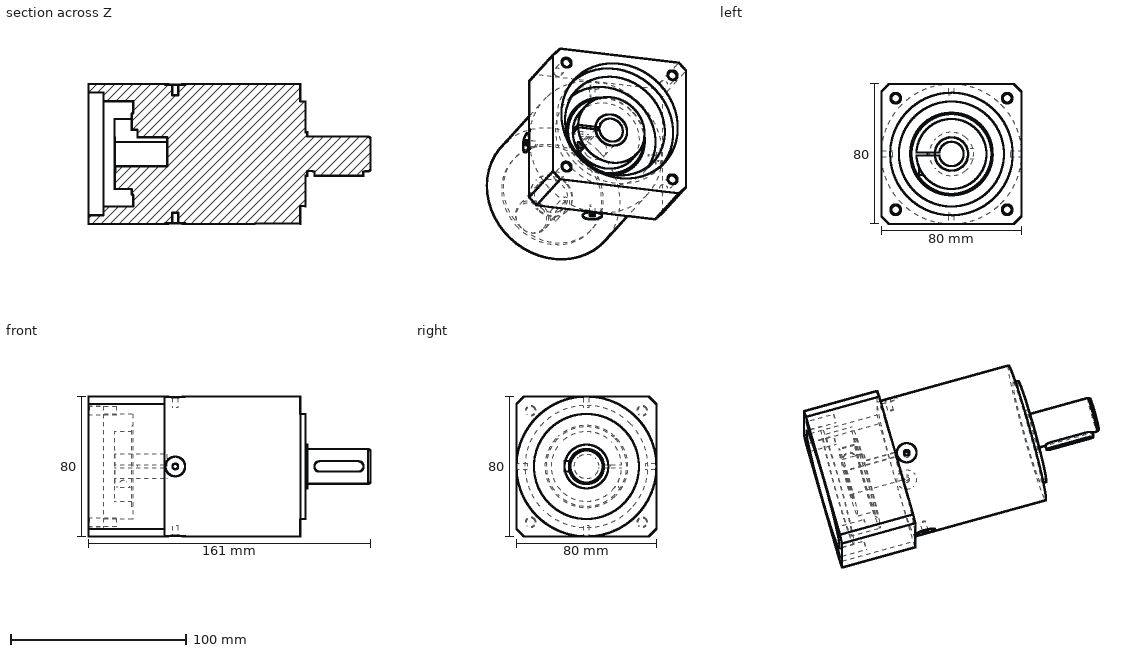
import cadquery as cq
import math


FLANGE_END = 43.4
HOUSING_END = 121.0
PILOT_END = 124.0
SHOULDER_END = 125.0
SHAFT_END = 161.0

FLANGE_SIDE = 80.0
FLANGE_CORNER_CHAMFER = 4.4
BOLT_CIRCLE_DIAMETER = 90.0
BOLT_HOLE_DIAMETER = 5.0
BOLT_HOLE_MOUTH_DIAMETER = 6.0
BOLT_HOLE_DEPTH = 16.0

HOUSING_DIAMETER = FLANGE_SIDE
PILOT_DIAMETER = 60.0
SHOULDER_DIAMETER = 25.0
SHAFT_DIAMETER = 20.0
SHAFT_CHAMFER_LENGTH = 1.3
SHAFT_CHAMFER_HEIGHT = 0.8

KEY_LENGTH = 28.0
KEY_WIDTH = 6.0
KEY_HEIGHT = 6.0
KEY_TOP_RADIUS = 12.5

MOTOR_SPIGOT_DIAMETER = 70.0
MOTOR_SPIGOT_DEPTH = 8.5
CAVITY_DIAMETER = 60.0
CAVITY_DEPTH = 25.5
FLOOR_BOSS_DIAMETER = 47.2
FLOOR_BOSS_HEIGHT = 0.8

HUB_FRONT = 15.0
HUB_DIAMETER = 40.0
HUB_RECESS_DIAMETER = 19.0
HUB_RECESS_DEPTH = 0.3
HUB_BORE_DIAMETER = 14.0
HUB_BORE_END = 45.0
HUB_SLIT_WIDTH = 1.5
HUB_SLIT_MIDDLE_Y = 13.8
HUB_SLIT_MIDDLE_END = 28.0

SCREW_HEAD_DIAMETER = 8.4
SCREW_HEAD_OUTER_Y = 18.4
SCREW_HEAD_BOTTOM_Z = -12.0
SCREW_HEAD_TOP_Z = -5.0
SCREW_AXIS_X = 20.0

SPOT_X = 49.6
SPOT_DIAMETER = 11.2
SPOT_HOLE_DIAMETER = 3.2
SPOT_HOLE_DEPTH = 6.0


def x_cylinder(diameter, start, end):
    """Cylinder on the X axis between two stations."""
    return cq.Workplane("YZ", origin=(start, 0, 0)).circle(diameter / 2).extrude(end - start)


def x_cone(start_diameter, end_diameter, start, end):
    """Truncated cone on the X axis between two stations."""
    cone = cq.Solid.makeCone(
        start_diameter / 2, end_diameter / 2, end - start, cq.Vector(start, 0, 0), cq.Vector(1, 0, 0)
    )
    return cq.Workplane(obj=cone)


def make_flange():
    block = cq.Workplane("YZ").rect(FLANGE_SIDE, FLANGE_SIDE).extrude(FLANGE_END)
    return block.edges("|X").chamfer(FLANGE_CORNER_CHAMFER)


def make_shaft():
    chamfer_start = SHAFT_END - SHAFT_CHAMFER_LENGTH
    tip_diameter = SHAFT_DIAMETER - 2 * SHAFT_CHAMFER_HEIGHT
    shaft = x_cylinder(SHAFT_DIAMETER, HOUSING_END, chamfer_start)
    return shaft.union(x_cone(SHAFT_DIAMETER, tip_diameter, chamfer_start, SHAFT_END))


def make_key():
    key_centre_x = (SHOULDER_END + SHAFT_END) / 2
    outer_face = cq.Workplane("XZ", origin=(key_centre_x, -KEY_TOP_RADIUS, 0))
    return outer_face.slot2D(KEY_LENGTH, KEY_WIDTH).extrude(-KEY_HEIGHT)


def make_cavity():
    """Stepped motor opening, leaving a low bevelled boss on its floor."""
    opening = x_cylinder(MOTOR_SPIGOT_DIAMETER, 0, MOTOR_SPIGOT_DEPTH)
    opening = opening.union(x_cylinder(CAVITY_DIAMETER, 0, CAVITY_DEPTH))
    boss_tip_diameter = FLOOR_BOSS_DIAMETER - 2 * FLOOR_BOSS_HEIGHT
    boss_front = CAVITY_DEPTH - FLOOR_BOSS_HEIGHT
    return opening.cut(x_cone(boss_tip_diameter, FLOOR_BOSS_DIAMETER, boss_front, CAVITY_DEPTH))


def make_screw_head():
    screw_y = SCREW_HEAD_OUTER_Y - SCREW_HEAD_DIAMETER / 2
    base = cq.Workplane("XY", origin=(SCREW_AXIS_X, screw_y, SCREW_HEAD_BOTTOM_Z))
    return base.circle(SCREW_HEAD_DIAMETER / 2).extrude(SCREW_HEAD_TOP_Z - SCREW_HEAD_BOTTOM_Z)


def make_hub():
    """Clamping hub with its screw head and face recess, before boring and slitting."""
    hub = x_cylinder(HUB_DIAMETER, HUB_FRONT, CAVITY_DEPTH).union(make_screw_head())
    return hub.cut(x_cylinder(HUB_RECESS_DIAMETER, HUB_FRONT, HUB_FRONT + HUB_RECESS_DEPTH))


def make_hub_slit():
    """Slit from the bore towards +Y that gets deeper in two steps near the bore."""
    boss_front = CAVITY_DEPTH - FLOOR_BOSS_HEIGHT
    steps = (
        (HUB_DIAMETER / 2, boss_front),
        (HUB_SLIT_MIDDLE_Y, HUB_SLIT_MIDDLE_END),
        (HUB_RECESS_DIAMETER / 2, HUB_BORE_END),
    )
    slit = cq.Workplane("XY")
    for outer_y, end_x in steps:
        start = cq.Workplane("XY", origin=(HUB_FRONT, 0, -HUB_SLIT_WIDTH / 2))
        slit = slit.union(start.rect(end_x - HUB_FRONT, outer_y, centered=False).extrude(HUB_SLIT_WIDTH))
    return slit


def make_bolt_hole():
    """Blind hole from the flange face with a 45 degree chamfered mouth, on the X axis."""
    mouth_depth = (BOLT_HOLE_MOUTH_DIAMETER - BOLT_HOLE_DIAMETER) / 2
    hole = x_cylinder(BOLT_HOLE_DIAMETER, 0, BOLT_HOLE_DEPTH)
    return hole.union(x_cone(BOLT_HOLE_MOUTH_DIAMETER, BOLT_HOLE_DIAMETER, 0, mouth_depth))


def make_spot_face():
    """Cutter for the spot face and hole on the +Z side of the housing."""
    housing_radius = HOUSING_DIAMETER / 2
    spot_radius = SPOT_DIAMETER / 2
    flat_height = math.sqrt(housing_radius**2 - spot_radius**2)
    flat = cq.Workplane("XY", origin=(SPOT_X, 0, flat_height))
    spot = flat.circle(spot_radius).extrude(housing_radius - flat_height)
    return spot.union(flat.circle(SPOT_HOLE_DIAMETER / 2).extrude(-SPOT_HOLE_DEPTH))


body = make_flange()
body = body.union(x_cylinder(HOUSING_DIAMETER, FLANGE_END, HOUSING_END))
body = body.union(x_cylinder(PILOT_DIAMETER, HOUSING_END, PILOT_END))
body = body.union(x_cylinder(SHOULDER_DIAMETER, PILOT_END, SHOULDER_END))
body = body.union(make_shaft()).union(make_key())

body = body.cut(make_cavity()).union(make_hub())
body = body.cut(x_cylinder(HUB_BORE_DIAMETER, HUB_FRONT, HUB_BORE_END))
body = body.cut(make_hub_slit())

bolt_offset = BOLT_CIRCLE_DIAMETER / 2 * math.sqrt(0.5)
for side_y in (-1, 1):
    for side_z in (-1, 1):
        body = body.cut(make_bolt_hole().translate((0, side_y * bolt_offset, side_z * bolt_offset)))

for angle in (0, 90, 180, 270):
    body = body.cut(make_spot_face().rotate((0, 0, 0), (1, 0, 0), angle))

result = body